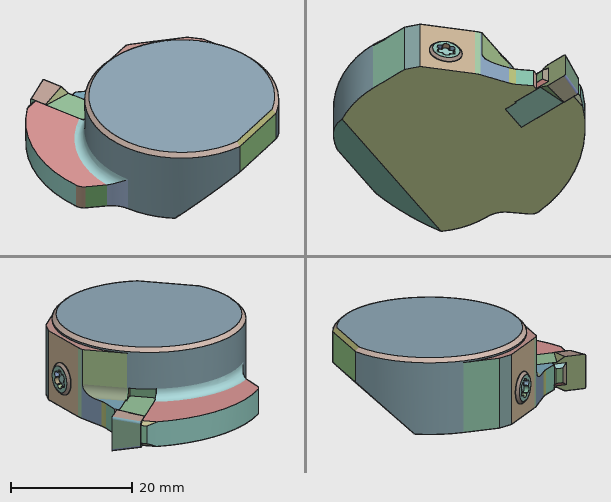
import cadquery as cq
import math


disk_radius = 16.0
disk_height = 13.2
disk_chamfer = 0.7
flat_x = 15.1
relief_start_x = 7.9

plate_height = 4.4
cove_radius = 1.65
cove_overlap = 0.43
rim_radius = 22.35
rim_center_x = -5.45
rim_center_y = 2.1
heel_blend_radius = 5.0
heel_angle = 42.0
heel_round = 2.0
nose_x = -26.4
nose_chamfer = 0.65
plate_end_x = -21.65
plate_end_y = 0.9

block_height = 12.23
block_corner_x = -7.75
block_foot_y = 8.15
flank_foot_x = -19.05
flank_foot_y = 3.2
flank_round = 5.0
block_corner_chamfer = 1.45

screw_diameter = 5.5
screw_protrusion = 0.55
screw_chamfer = 0.45
screw_y = 11.95
screw_z = 5.1
socket_core_diameter = 2.45
socket_lobe_diameter = 1.1
socket_tip_diameter = 3.3
socket_depth = 0.85
socket_lobes = 6

tip_x = -27.5
insert_thickness = 4.73
insert_end_x = -15.12
step_x = -17.25
step_depth = 0.2
mid_z = plate_height / 2
rake_height = 6.0
rake_half_height = rake_height / 2
back_half_height = 2.25
front_clearance = 0.72
head_end_x = -23.8
rake_runout = 1.4
back_runout = 0.13
tip_round = 0.35
boss_start_x = -24.05
boss_height = 0.6
boss_base_half_height = 1.9
boss_top_half_height = 1.28
boss_front_slope = 0.8
boss_rear_slope = 0.43

block_face_offset = block_corner_x - disk_radius
block_foot_x = block_face_offset + block_foot_y
cove_top = plate_height + cove_radius


def box(x_min, x_max, y_min, y_max, z_min, z_max):
    size = (x_max - x_min, y_max - y_min, z_max - z_min)
    return cq.Workplane("XY").box(*size, centered=False).translate((x_min, y_min, z_min))


def make_shank_bar(start_x, height):
    """Stepped bar shared by the insert shank and the seat that takes it."""
    bar = box(start_x, insert_end_x, -insert_thickness, 0, 0, height)
    return bar.cut(box(step_x, insert_end_x, -step_depth, 0, 0, height))


def make_disk():
    """Round disk with a flat, a chamfered top and a 45 degree underside relief."""
    disk = cq.Workplane("XY").circle(disk_radius).extrude(disk_height)
    disk = disk.cut(box(flat_x, 2 * disk_radius, -disk_radius, disk_radius, 0, disk_height))
    disk = disk.faces(">Z").chamfer(disk_chamfer)
    reach = disk_radius - relief_start_x
    relief = (
        cq.Workplane("XZ")
        .polyline([(relief_start_x, 0), (relief_start_x + reach, 0), (relief_start_x + reach, reach)])
        .close()
        .extrude(disk_radius, both=True)
    )
    return disk.cut(relief)


def make_wing_prism(height):
    """Plate lobe below the insert, bounded by the rim arc, the heel and the disk."""
    slope = math.radians(heel_angle)
    heel_x = -heel_blend_radius * math.sin(slope)
    heel_y = -disk_radius - heel_blend_radius * (1 - math.cos(slope))
    mid_heel_x = -heel_blend_radius * math.sin(slope / 2)
    mid_heel_y = -disk_radius - heel_blend_radius * (1 - math.cos(slope / 2))
    run = 2 * rim_radius
    outline = (
        cq.Workplane("XY")
        .moveTo(0, 0)
        .lineTo(0, -disk_radius)
        .threePointArc((mid_heel_x, mid_heel_y), (heel_x, heel_y))
        .lineTo(heel_x - run, heel_y - run * math.tan(slope))
        .lineTo(heel_x - run, 0)
        .close()
        .extrude(height)
    )
    rim = cq.Workplane("XY").center(rim_center_x, rim_center_y).circle(rim_radius).extrude(height)
    wing = outline.intersect(rim)
    wing = wing.edges("|Z").edges("<Y").fillet(heel_round)
    return wing.cut(box(-run, nose_x, -run, run, 0, height))


def make_flank_prism(height):
    """Outline of the clamping block and its foot on the rake side of the insert."""
    prism = (
        cq.Workplane("XY")
        .polyline([
            (0, 0),
            (0, disk_radius),
            (block_corner_x, disk_radius),
            (block_foot_x, block_foot_y),
            (flank_foot_x, flank_foot_y),
            (plate_end_x, plate_end_y),
            (plate_end_x, 0),
        ])
        .close()
        .extrude(height)
    )
    block_corner = cq.selectors.NearestToPointSelector((block_corner_x, disk_radius, height / 2))
    prism = prism.edges(block_corner).chamfer(block_corner_chamfer)
    for x, y in [(block_foot_x, block_foot_y), (flank_foot_x, flank_foot_y)]:
        bend = cq.selectors.NearestToPointSelector((x, y, height / 2))
        prism = prism.edges(bend).fillet(flank_round)
    return prism


def cove_profile():
    """Concave triangle between the plate top and the disk wall, in the XZ plane."""
    bulge = cove_radius * (1 - math.sqrt(0.5))
    return (
        cq.Workplane("XZ")
        .moveTo(-disk_radius + cove_overlap, plate_height)
        .lineTo(-disk_radius - cove_radius, plate_height)
        .threePointArc((-disk_radius - bulge, plate_height + bulge), (-disk_radius, cove_top))
        .lineTo(-disk_radius + cove_overlap, cove_top)
        .close()
    )


def make_screw_head():
    """Screw head and its six-lobe socket, square to the 45 degree face."""
    face = cq.Plane(
        origin=(block_face_offset + screw_y, screw_y, screw_z), xDir=(0, 0, 1), normal=(-1, 1, 0)
    )
    head = cq.Workplane(face).circle(screw_diameter / 2).extrude(screw_protrusion)
    head = head.faces(cq.selectors.DirectionMinMaxSelector(cq.Vector(-1, 1, 0))).chamfer(screw_chamfer)
    socket_floor = screw_protrusion - socket_depth
    base = cq.Workplane(face).workplane(offset=socket_floor)
    lobe_offset = (socket_tip_diameter - socket_lobe_diameter) / 2
    socket = base.circle(socket_core_diameter / 2).extrude(socket_depth)
    lobes = (
        base.polarArray(lobe_offset, 0, 360, socket_lobes)
        .circle(socket_lobe_diameter / 2)
        .extrude(socket_depth)
    )
    return head, socket.union(lobes)


def make_holder():
    """Disk, block, plate and screw head as one body, with the insert seat cut out."""
    wing_cove = cove_profile().revolve(360, (0, 0, 0), (0, 1, 0)).intersect(make_wing_prism(cove_top))
    flank_cove = cove_profile().extrude(-disk_radius).intersect(make_flank_prism(cove_top))
    wing = make_wing_prism(plate_height)
    wing = wing.faces("<X").edges("|Y").chamfer(nose_chamfer)
    block = make_flank_prism(block_height).intersect(
        box(-disk_radius, 0, 0, disk_radius, 0, block_height)
    )
    holder = make_disk().union(block).union(wing).union(make_flank_prism(plate_height))
    holder = holder.union(wing_cove).union(flank_cove)
    seat = make_shank_bar(2 * tip_x, cove_top)
    head, socket = make_screw_head()
    return holder.cut(seat).union(head).cut(socket)


def head_outline(y, front_x, half_height, runout):
    """Closed outline of the head at the given Y."""
    shank_half = plate_height / 2
    upper = [(front_x, half_height), (head_end_x, half_height), (head_end_x + runout, shank_half)]
    lower = [(x, -z) for x, z in reversed(upper)]
    points = [cq.Vector(x, y, mid_z + z) for x, z in upper + lower]
    return cq.Wire.makePolygon(points, close=True)


def make_boss():
    """Tapered chip-forming boss on the rake face."""
    base_length = plate_end_x - boss_start_x
    top_length = base_length - boss_front_slope - boss_rear_slope
    base_mid_x = boss_start_x + base_length / 2
    top_mid_x = boss_start_x + boss_front_slope + top_length / 2
    return (
        cq.Workplane("XZ", origin=(base_mid_x, 0, mid_z))
        .rect(base_length, 2 * boss_base_half_height)
        .workplane(offset=-boss_height)
        .center(top_mid_x - base_mid_x, 0)
        .rect(top_length, 2 * boss_top_half_height)
        .loft(ruled=True)
    )


def make_insert():
    """Head tapering away from the rake face, with a straight shank and a boss."""
    rake = head_outline(0, tip_x, rake_half_height, rake_runout)
    back = head_outline(-insert_thickness, tip_x + front_clearance, back_half_height, back_runout)
    head = cq.Workplane(cq.Solid.makeLoft([rake, back], True))
    for side in (1, -1):
        corner = (tip_x + front_clearance / 2, -insert_thickness / 2, mid_z + side * rake_half_height)
        head = head.edges(cq.selectors.NearestToPointSelector(corner)).fillet(tip_round)
    shank = make_shank_bar(head_end_x, plate_height)
    return head.union(shank).union(make_boss())


holder = make_holder()
insert = make_insert()
result = cq.Compound.makeCompound([holder.solids().val(), insert.solids().val()])